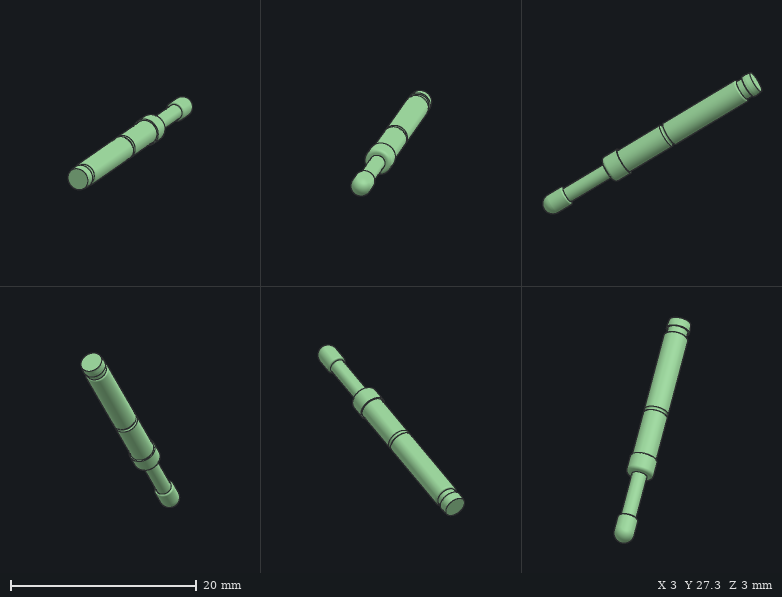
import cadquery as cq
import math


total_length = 27.3

end_cap_rear_radius = 1.2
end_cap_radius = 1.28
neck_radius = 1.12
body_radius = 1.35
collar_radius = 1.5
stem_radius = 0.85
head_radius = 1.12

end_cap_length = 1.0
end_cap_taper_length = 0.6
neck_length = 0.76
collar_length = 2.02
collar_front = 19.03
head_length = 2.98

collar_fillet = 0.4
head_fillet = 0.2
body_fillet = body_radius - neck_radius
groove_depth = 0.16
groove_floor_width = 0.08
groove_center = 11.35

body_rear = end_cap_length + neck_length
collar_rear = collar_front - collar_length
groove_rear = groove_center - groove_floor_width / 2
groove_front = groove_center + groove_floor_width / 2
head_rear = total_length - head_length
dome_start = total_length - head_radius

ARC_MIDDLE = math.sqrt(0.5)


def arc_point(center_radius, center_y, arc_radius, radial_sign, axial_sign):
    """Middle point of a quarter arc, as (radius, y)."""
    offset = arc_radius * ARC_MIDDLE
    return (center_radius + radial_sign * offset, center_y + axial_sign * offset)


def build_pin():
    """Revolve the half outline (X = radius) about the Y axis."""
    outline = (
        cq.Workplane("XY")
        .moveTo(0, 0)
        .lineTo(end_cap_rear_radius, 0)
        .lineTo(end_cap_radius, end_cap_taper_length)
        .lineTo(end_cap_radius, end_cap_length)
        .lineTo(neck_radius, end_cap_length)
        .lineTo(neck_radius, body_rear)
        .threePointArc(
            arc_point(neck_radius, body_rear + body_fillet, body_fillet, 1, -1),
            (body_radius, body_rear + body_fillet),
        )
        .lineTo(body_radius, groove_rear - groove_depth)
        .threePointArc(
            arc_point(body_radius, groove_rear, groove_depth, -1, -1),
            (body_radius - groove_depth, groove_rear),
        )
        .lineTo(body_radius - groove_depth, groove_front)
        .threePointArc(
            arc_point(body_radius, groove_front, groove_depth, -1, 1),
            (body_radius, groove_front + groove_depth),
        )
        .lineTo(body_radius, collar_rear)
        .lineTo(collar_radius, collar_rear)
        .lineTo(collar_radius, collar_front - collar_fillet)
        .threePointArc(
            arc_point(collar_radius - collar_fillet, collar_front - collar_fillet, collar_fillet, 1, 1),
            (collar_radius - collar_fillet, collar_front),
        )
        .lineTo(stem_radius, collar_front)
        .lineTo(stem_radius, head_rear)
        .lineTo(head_radius - head_fillet, head_rear)
        .threePointArc(
            arc_point(head_radius - head_fillet, head_rear + head_fillet, head_fillet, 1, -1),
            (head_radius, head_rear + head_fillet),
        )
        .lineTo(head_radius, dome_start)
        .threePointArc(
            arc_point(0, dome_start, head_radius, 1, 1),
            (0, total_length),
        )
        .close()
    )
    return outline.revolve(360, (0, 0, 0), (0, 1, 0))


result = build_pin()